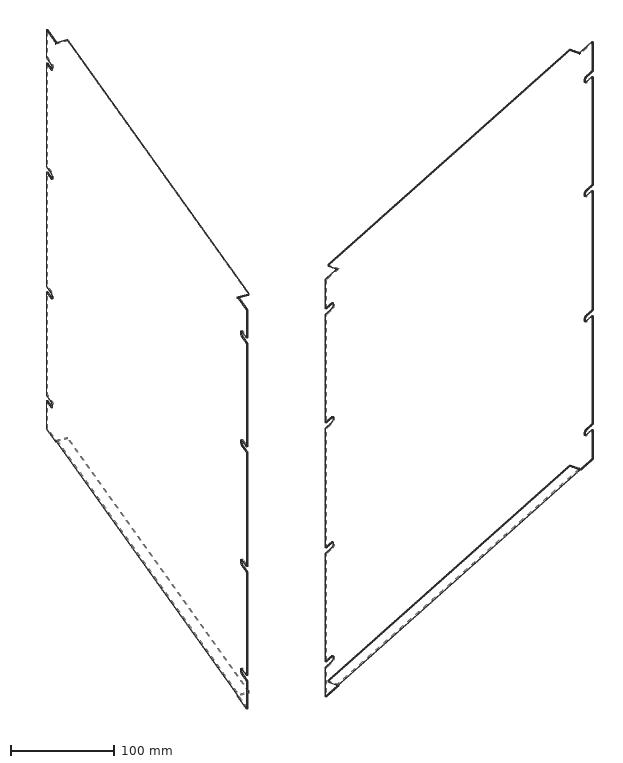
import cadquery as cq

width = 483.0
height = 488.0
depth = 12.5
thickness = 1.5

flange_inset = 22.5
flange_length = width - 2 * flange_inset
inner_bend_radius = 0.5
outer_bend_radius = inner_bend_radius + thickness

slot_width = 7.0
slot_depth = 14.5
slot_heights = (73.0, 206.5)


def make_plate():
    """Flat front plate, with its front face on the XZ plane."""
    return cq.Workplane("XY").box(width, thickness, height).translate((0, thickness / 2, 0))


def cut_flange_strip(plate):
    """Remove the square top and bottom edges where the bends replace them."""
    kept_height = height - 2 * outer_bend_radius
    full_block = cq.Workplane("XY").box(flange_length, depth, height)
    kept_block = cq.Workplane("XY").box(flange_length, depth, kept_height)
    return plate.cut(full_block.cut(kept_block))


def make_top_flange():
    """Rounded bend and rearward flange along the top edge."""
    top = height / 2
    bend_start = top - outer_bend_radius
    profile = (
        cq.Workplane("YZ", origin=(-flange_length / 2, 0, 0))
        .moveTo(0, bend_start)
        .radiusArc((outer_bend_radius, top), outer_bend_radius)
        .lineTo(depth, top)
        .lineTo(depth, top - thickness)
        .lineTo(outer_bend_radius, top - thickness)
        .radiusArc((thickness, bend_start), -inner_bend_radius)
        .close()
    )
    return profile.extrude(flange_length)


def make_slot(side, z):
    """Round-ended slot cutter running in from the left (-1) or right (+1) edge."""
    cutter_length = 2 * slot_depth
    return (
        cq.Workplane("XZ", origin=(side * width / 2, 0, z))
        .slot2D(cutter_length, slot_width)
        .extrude(depth, both=True)
    )


top_flange = make_top_flange()
bottom_flange = top_flange.mirror("XY")
result = cut_flange_strip(make_plate()).union(top_flange).union(bottom_flange)

for side in (-1, 1):
    for slot_height in slot_heights:
        for z in (-slot_height, slot_height):
            result = result.cut(make_slot(side, z))